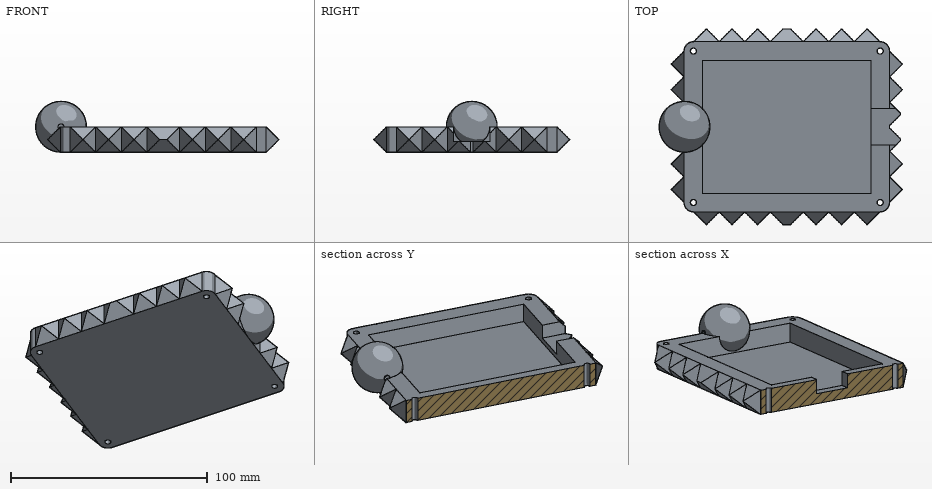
import cadquery as cq

tray_length = 104.6
tray_width = 86.7
tray_height = 13.0
corner_radius = 5.0
wall = 9.5
floor = 3.0
screw_hole_diameter = 3.0
screw_hole_inset = 4.8

stud_width = tray_height
studs_per_half_length = 3
studs_per_half_width = 2

notch_width = 18.6
notch_depth = 7.4
notch_stud_width = 11.9
notch_stud_offset = 6.6

ball_diameter = 26.0
ball_recess_diameter = 3.0
ball_recess_depth = 0.6
ball_inset = 0.31

half_length = tray_length / 2
half_width = tray_width / 2
ball_radius = ball_diameter / 2
long_stud_width = tray_length - 2 * corner_radius - 2 * studs_per_half_length * stud_width
ball_center = (ball_inset - half_length, 0, ball_radius)


def make_stud(length, direction, distance, offset):
    """Hipped stud with 45 degree slopes, as high as the tray, on one of its sides.

    A square stud ends in a point, any other in a short ridge along its longer way.
    direction: angle about Z of the side's outward normal
    distance: how far the side lies from the tray centre
    offset: place of the stud's middle along the side
    """
    end_slopes = (
        cq.Workplane("XY")
        .polyline([(0, -length / 2), (length / 2, 0), (0, length / 2)])
        .close()
        .extrude(tray_height)
    )
    face_slopes = (
        cq.Workplane("XZ")
        .polyline([(0, 0), (tray_height / 2, tray_height / 2), (0, tray_height)])
        .close()
        .extrude(length / 2, both=True)
    )
    stud = end_slopes.intersect(face_slopes).translate((distance, offset, 0))
    return stud.rotate((0, 0, 0), (0, 0, 1), direction)


def stud_offsets(side_length, count):
    """Places of the studs on one side, packed inward from both rounded corners."""
    first = side_length / 2 - corner_radius - stud_width / 2
    places = [first - i * stud_width for i in range(count)]
    return places + [-place for place in places]


def add_studs(tray):
    for direction in (90, 270):
        for offset in stud_offsets(tray_length, studs_per_half_length):
            tray = tray.union(make_stud(stud_width, direction, half_width, offset))
        tray = tray.union(make_stud(long_stud_width, direction, half_width, 0))
    for direction in (0, 180):
        for offset in stud_offsets(tray_width, studs_per_half_width):
            tray = tray.union(make_stud(stud_width, direction, half_length, offset))
    for offset in (-notch_stud_offset, notch_stud_offset):
        tray = tray.union(make_stud(notch_stud_width, 0, half_length, offset))
    return tray


def make_tray():
    tray = cq.Workplane().box(tray_length, tray_width, tray_height, centered=(True, True, False))
    tray = add_studs(tray.edges("|Z").fillet(corner_radius))

    cavity = cq.Workplane().box(
        tray_length - 2 * wall, tray_width - 2 * wall, tray_height, centered=(True, True, False)
    )
    tray = tray.cut(cavity.translate((0, 0, floor)))

    notch_length = wall + notch_stud_width / 2
    notch = cq.Workplane().box(notch_length, notch_width, notch_depth, centered=(False, True, False))
    tray = tray.cut(notch.translate((half_length - wall, 0, tray_height - notch_depth)))

    screw_holes = (
        cq.Workplane()
        .rect(tray_length - 2 * screw_hole_inset, tray_width - 2 * screw_hole_inset, forConstruction=True)
        .vertices()
        .circle(screw_hole_diameter / 2)
        .extrude(tray_height)
    )
    return tray.cut(screw_holes).cut(cq.Workplane().sphere(ball_radius).translate(ball_center))


def make_ball():
    ball = cq.Workplane().sphere(ball_radius)
    recess = cq.Workplane("XZ", origin=(0, ball_radius, 0))
    recess = recess.circle(ball_recess_diameter / 2).extrude(ball_recess_depth)
    return ball.cut(recess).cut(recess.mirror("XZ")).translate(ball_center)


tray = make_tray()
ball = make_ball()
result = cq.Compound.makeCompound([tray.val(), ball.val()])